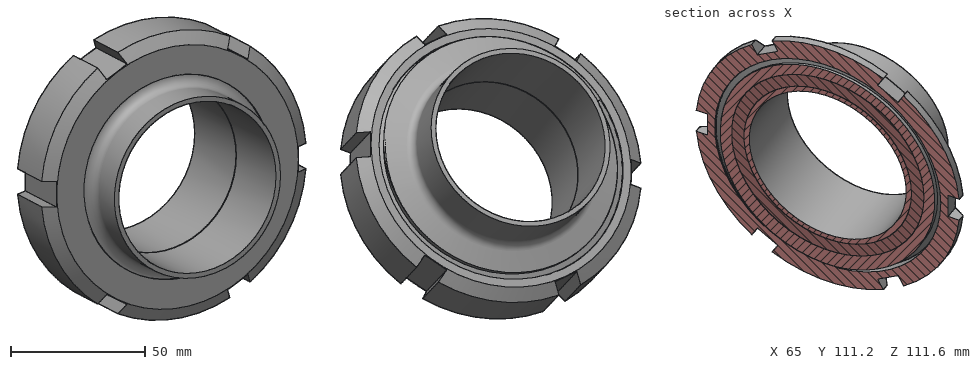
import cadquery as cq
import math


total_length = 65.0
pipe_radius = 34.9
bore_radius = 33.0
male_end = 33.0
joint_gap = 0.5
liner_start = male_end + joint_gap

male_pipe_length = 17.5
male_fillet = 3.7
cone_angle = math.radians(15)
thread_radius = 47.6

thread_pitch = 4.2
groove_turns = 2.5
groove_depth = 2.3
groove_root_width = 2.3
groove_flank_angle = math.radians(18)
groove_start_x = 22.2
groove_start_turn = 235
cut_clearance = 0.2

gasket_inner_radius = 35.5
gasket_outer_radius = 40.5
gasket_thickness = 5.0
gasket_start = liner_start - gasket_thickness

nut_radius = 55.8
nut_start = 23.9
nut_end = 49.2
nut_chamfer_length = 3.0
nut_face_radius = 50.8
nut_wall = 5.6
slot_count = 6
slot_width = 9.8
slot_floor = 50.9

liner_fillet = 4.5
liner_pipe_start = 52.8
neck_radius = pipe_radius + liner_fillet
nut_shoulder_x = nut_end - nut_wall


def revolve_about_x(profile):
    """Turn a profile drawn as (x, radius) fully around the X axis."""
    return profile.close().revolve(360, (0, 0, 0), (1, 0, 0))


def make_gasket():
    return (
        cq.Workplane("YZ", origin=(gasket_start, 0, 0))
        .circle(gasket_outer_radius)
        .circle(gasket_inner_radius)
        .extrude(gasket_thickness)
    )


def make_thread_groove():
    """Helical cutter, swept around Z and then turned onto the X axis."""
    root_radius = thread_radius - groove_depth
    mouth_radius = thread_radius + cut_clearance
    half_root = groove_root_width / 2
    half_mouth = half_root + (mouth_radius - root_radius) * math.tan(groove_flank_angle)
    groove_length = groove_turns * thread_pitch
    helix = cq.Workplane(cq.Wire.makeHelix(thread_pitch, groove_length, root_radius))
    section = (
        cq.Workplane("XZ")
        .moveTo(root_radius, -half_root)
        .lineTo(mouth_radius, -half_mouth)
        .lineTo(mouth_radius, half_mouth)
        .lineTo(root_radius, half_root)
        .close()
    )
    return (
        section.sweep(helix, isFrenet=True)
        .rotate((0, 0, 0), (0, 1, 0), 90)
        .rotate((0, 0, 0), (1, 0, 0), groove_start_turn)
        .translate((groove_start_x, 0, 0))
    )


def make_male():
    center_x = male_pipe_length
    center_radius = pipe_radius + male_fillet

    def fillet_point(angle):
        return (center_x + male_fillet * math.sin(angle), center_radius - male_fillet * math.cos(angle))

    cone_start_angle = math.pi / 2 - cone_angle
    cone_start = fillet_point(cone_start_angle)
    cone_end_x = cone_start[0] + (thread_radius - cone_start[1]) * math.tan(cone_angle)
    profile = (
        cq.Workplane("XY")
        .moveTo(0, bore_radius)
        .lineTo(0, pipe_radius)
        .lineTo(male_pipe_length, pipe_radius)
        .threePointArc(fillet_point(cone_start_angle / 2), cone_start)
        .lineTo(cone_end_x, thread_radius)
        .lineTo(male_end, thread_radius)
        .lineTo(male_end, bore_radius)
    )
    return revolve_about_x(profile).cut(make_gasket()).cut(make_thread_groove())


def make_liner():
    neck_end = liner_pipe_start - liner_fillet
    fillet_middle = (
        liner_pipe_start - liner_fillet * math.sin(math.pi / 4),
        neck_radius - liner_fillet * math.cos(math.pi / 4),
    )
    profile = (
        cq.Workplane("XY")
        .moveTo(liner_start, bore_radius)
        .lineTo(liner_start, thread_radius)
        .lineTo(nut_shoulder_x, thread_radius)
        .lineTo(nut_shoulder_x, neck_radius)
        .lineTo(neck_end, neck_radius)
        .threePointArc(fillet_middle, (liner_pipe_start, pipe_radius))
        .lineTo(total_length, pipe_radius)
        .lineTo(total_length, bore_radius)
    )
    return revolve_about_x(profile)


def make_nut():
    profile = (
        cq.Workplane("XY")
        .moveTo(nut_start, thread_radius)
        .lineTo(nut_start, nut_face_radius)
        .lineTo(nut_start + nut_chamfer_length, nut_radius)
        .lineTo(nut_end - nut_chamfer_length, nut_radius)
        .lineTo(nut_end, nut_face_radius)
        .lineTo(nut_end, neck_radius)
        .lineTo(nut_shoulder_x, neck_radius)
        .lineTo(nut_shoulder_x, thread_radius)
    )
    nut = revolve_about_x(profile)

    slot_cutter = cq.Workplane("XY").box(
        nut_end - nut_start, nut_radius - slot_floor, slot_width, centered=(False, False, True)
    ).translate((nut_start, slot_floor, 0))
    for index in range(slot_count):
        nut = nut.cut(slot_cutter.rotate((0, 0, 0), (1, 0, 0), index * 360 / slot_count))
    return nut


male = make_male()
gasket = make_gasket()
liner = make_liner()
nut = make_nut()

bodies = [male, gasket, liner, nut]
result = cq.Compound.makeCompound([body.solids().val() for body in bodies])